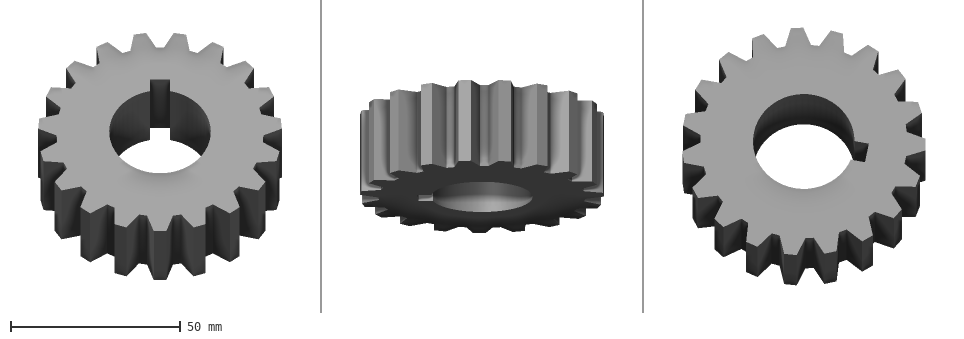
import cadquery as cq
import math

tooth_count = 19
thickness = 25.0
tip_diameter = 72.0
tip_radius = tip_diameter / 2
root_radius = 30.6
bore_radius = 14.995

tip_half_angle = 2.95
root_half_angle = 7.2
tooth_pitch = 360 / tooth_count

keyway_width = 6.0
keyway_floor_radius = 19.0
keyway_angle = 129.8


def polar_point(radius, angle):
    """Return the XY point at a radius and an angle in degrees."""
    return (
        radius * math.cos(math.radians(angle)),
        radius * math.sin(math.radians(angle)),
    )


def tooth_points(centre_angle):
    """Return the four corners of one tooth, counterclockwise."""
    return [
        polar_point(root_radius, centre_angle - root_half_angle),
        polar_point(tip_radius, centre_angle - tip_half_angle),
        polar_point(tip_radius, centre_angle + tip_half_angle),
        polar_point(root_radius, centre_angle + root_half_angle),
    ]


def make_toothed_blank():
    """Extrude the outline; straight edges join the teeth at tip and root."""
    first_tooth_angle = keyway_angle + tooth_pitch / 2
    outline = []
    for index in range(tooth_count):
        outline += tooth_points(first_tooth_angle + index * tooth_pitch)
    return cq.Workplane("XY").polyline(outline).close().extrude(thickness)


def make_bore():
    """Make the round through bore."""
    return cq.Workplane("XY").circle(bore_radius).extrude(thickness)


def make_keyway():
    """Make the full-length keyway, running from the centre out to its floor."""
    return (
        cq.Workplane("XY")
        .center(keyway_floor_radius / 2, 0)
        .rect(keyway_floor_radius, keyway_width)
        .extrude(thickness)
        .rotate((0, 0, 0), (0, 0, 1), keyway_angle)
    )


result = make_toothed_blank().cut(make_bore()).cut(make_keyway())